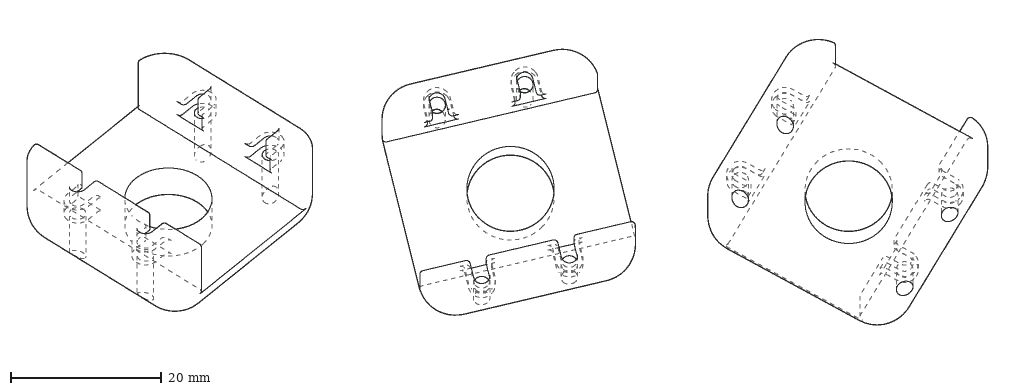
import cadquery as cq

length_x = 29.5
width_y = 30.2
height = 13.8
corner_radius = 4.98
edge_radius = 0.5

floor_top = corner_radius
wall_face_y = width_y / 2 - corner_radius

bore_diameter = 11.6
bore_x = -0.25

screw_diameter = 2.2
screw_spacing = 12.0
screw_center_x = 0.75
screw_y = width_y / 2 - corner_radius / 2
pocket_width = 3.62
pocket_floor = 8.37
pocket_height = 2.45

slot_depth = screw_y - wall_face_y
screw_positions = [
    (screw_center_x + x_sign * screw_spacing / 2, y_sign)
    for x_sign in (-1, 1)
    for y_sign in (-1, 1)
]


def block():
    """Block with rounded upright corners and bottom edges."""
    solid = cq.Workplane("XY").box(length_x, width_y, height, centered=(True, True, False))
    solid = solid.edges("|Z").fillet(corner_radius)
    return solid.faces("<Z").edges().fillet(corner_radius)


def channel():
    """Space above the floor and between the two walls, running along X."""
    return (
        cq.Workplane("XY", origin=(0, 0, floor_top))
        .rect(length_x, 2 * wall_face_y)
        .extrude(height - floor_top)
    )


def slot(x, side, width, slot_height):
    """Round-ended slot open to the channel; side is +1 for the wall at +Y and -1 at -Y."""
    round_end = (
        cq.Workplane("XY", origin=(x, side * screw_y, pocket_floor))
        .circle(width / 2)
        .extrude(slot_height)
    )
    mouth = (
        cq.Workplane("XY", origin=(x, side * wall_face_y, pocket_floor))
        .rect(width, 2 * slot_depth)
        .extrude(slot_height)
    )
    return round_end.union(mouth)


def pocket(x, side):
    """Wider undercut at the foot of a slot, with rounded edges where it meets the wall face."""
    flare_width = pocket_width + 2 * edge_radius
    flare = (
        cq.Workplane("XY", origin=(x, side * (wall_face_y + edge_radius / 2), pocket_floor))
        .rect(flare_width, edge_radius)
        .extrude(pocket_height)
    )
    rounds = (
        cq.Workplane("XY", origin=(x, side * (wall_face_y + edge_radius), pocket_floor))
        .pushPoints([(-flare_width / 2, 0), (flare_width / 2, 0)])
        .circle(edge_radius)
        .extrude(pocket_height)
    )
    return slot(x, side, pocket_width, pocket_height).union(flare.cut(rounds))


def through_hole(x, y, diameter):
    """Upright cylinder through the full height."""
    return cq.Workplane("XY").center(x, y).circle(diameter / 2).extrude(height)


def soften_walls(solid):
    """Round the top rims and the upright edges on the inner wall faces."""
    margin = edge_radius / 2
    between_walls = cq.selectors.BoxSelector(
        (-length_x, -wall_face_y - margin, floor_top),
        (length_x, wall_face_y + margin, height),
    )
    upright = cq.selectors.StringSyntaxSelector("|Z")
    rims = cq.selectors.StringSyntaxSelector(">Z")
    return solid.edges(rims + (upright & between_walls)).fillet(edge_radius)


body = block().cut(channel())

for x, side in screw_positions:
    body = body.cut(slot(x, side, screw_diameter, height - pocket_floor))

body = soften_walls(body)

for x, side in screw_positions:
    body = body.cut(pocket(x, side))
    body = body.cut(through_hole(x, side * screw_y, screw_diameter))

result = body.cut(through_hole(bore_x, 0, bore_diameter))